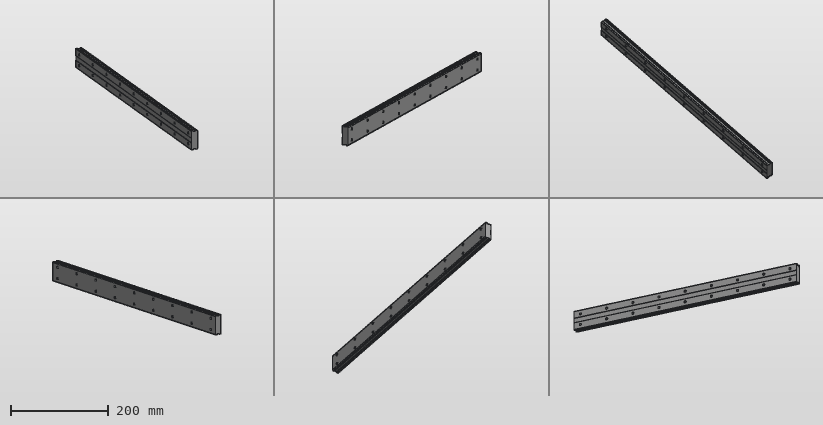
import cadquery as cq

length = 510.0
depth = 15.0
height = 42.0

head_chamfer = 1.8
foot_chamfer = 0.5
groove_width = 7.0
groove_floor_width = 4.0
groove_depth = 1.5
groove_center_y = -0.25
relief_width = 10.5
relief_depth = 0.5

hole_diameter = 4.5
holes_per_row = 9
hole_rows = 2
row_spacing = 24.0
end_margin_in_pitches = 0.25
hole_pitch = length / (holes_per_row - 1 + 2 * end_margin_in_pitches)


def full_length_prism(section):
    """Extrude a closed (y, z) outline over the whole length of the rail."""
    return cq.Workplane("YZ").polyline(section).close().extrude(length / 2, both=True)


def rail_blank():
    """Bar with chamfered long edges, cut deeper at the head (+Y) than at the foot (-Y)."""
    bar = cq.Workplane("XY").box(length, depth, height)
    bar = bar.faces(">Y").edges("|X").chamfer(head_chamfer)
    return bar.faces("<Y").edges("|X").chamfer(foot_chamfer)


def side_groove(side):
    """Trapezoidal groove along the top (side=1) or bottom (side=-1) face."""
    mouth_z = side * height / 2
    floor_z = side * (height / 2 - groove_depth)
    return full_length_prism([
        (groove_center_y - groove_width / 2, mouth_z),
        (groove_center_y - groove_floor_width / 2, floor_z),
        (groove_center_y + groove_floor_width / 2, floor_z),
        (groove_center_y + groove_width / 2, mouth_z),
    ])


def mounting_face_relief():
    """Shallow central channel with 45-degree sides along the -Y mounting face."""
    mouth_y = -depth / 2
    floor_y = mouth_y + relief_depth
    half_mouth = relief_width / 2
    half_floor = half_mouth - relief_depth
    return full_length_prism([
        (mouth_y, -half_mouth),
        (floor_y, -half_floor),
        (floor_y, half_floor),
        (mouth_y, half_mouth),
    ])


def mounting_holes():
    """Plain holes through the full depth."""
    return (
        cq.Workplane("XZ")
        .rarray(hole_pitch, row_spacing, holes_per_row, hole_rows)
        .circle(hole_diameter / 2)
        .extrude(depth, both=True)
    )


result = rail_blank().cut(mounting_face_relief()).cut(mounting_holes())
for side in (1, -1):
    result = result.cut(side_groove(side))